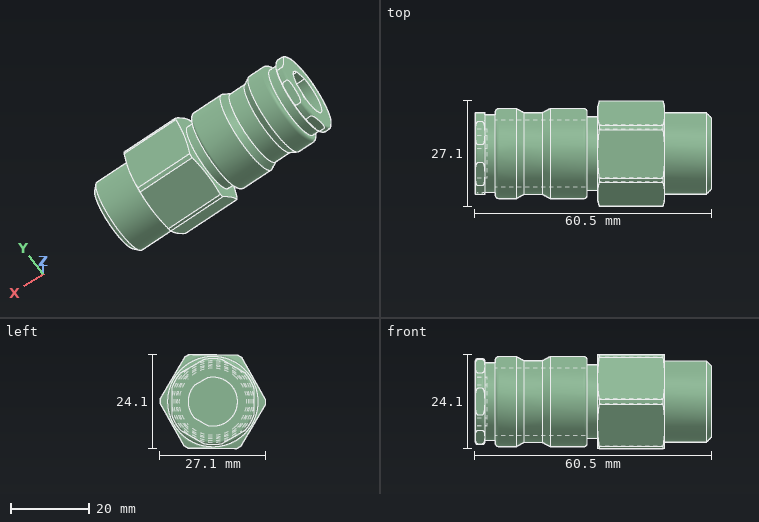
import cadquery as cq
import math

overall_length = 60.5
collar_length = 2.5
sleeve_start = 5.1
sleeve_end = 28.7
hex_start = 31.35
hex_end = 48.5

collar_diameter = 22.1
collar_flats = 21.0
collar_turn = 30
collar_fillet = 0.7

socket_radius = 6.3
socket_flat_distance = 6.0
socket_depth = 3.0
socket_flat_angles = (60, -60)

front_neck_diameter = 20.0
rear_neck_diameter = 18.95
shank_diameter = 20.95
shank_chamfer = 1.35

hex_flats = 24.0
hex_corner_diameter = 27.05
hex_turn = 0.6
hex_chamfer_length = 0.4

sleeve_diameter = 23.2
sleeve_bore = 17.25
waist_diameter = 21.0
front_rim_end = 10.5
waist_start = 12.45
waist_end = 17.2
rear_rim_start = 19.25
front_rim_fillet = 1.0
rear_rim_fillet = 0.9


def disc(diameter, start, end):
    """Solid cylinder about the X axis between two stations."""
    return cq.Workplane("YZ", origin=(start, 0, 0)).circle(diameter / 2).extrude(end - start)


def hexagon(across_flats, start, end):
    """Hexagonal prism about the X axis, with two corners on the Y axis."""
    corner_to_corner = across_flats / math.cos(math.pi / 6)
    return cq.Workplane("YZ", origin=(start, 0, 0)).polygon(6, corner_to_corner).extrude(end - start)


def make_collar():
    """Disc with rounded rims, cut by six flats that include the +Y and -Y sides."""
    rounded = disc(collar_diameter, 0, collar_length).faces("<X or >X").edges().fillet(collar_fillet)
    flats = hexagon(collar_flats, 0, collar_length).rotate((0, 0, 0), (1, 0, 0), collar_turn)
    return rounded.intersect(flats)


def make_socket():
    """Blind bore whose wall is flattened at two places on the +Y side."""
    width = socket_radius + socket_flat_distance
    socket = disc(2 * socket_radius, 0, socket_depth)
    for angle in socket_flat_angles:
        flat_block = (
            cq.Workplane("XY")
            .box(socket_depth, width, 2 * socket_radius, centered=(False, False, True))
            .translate((0, -socket_radius, 0))
            .rotate((0, 0, 0), (1, 0, 0), angle)
        )
        socket = socket.intersect(flat_block)
    return socket


def make_hex():
    """Wrench hexagon with turned corners and a conical chamfer at each end."""
    face_radius = hex_flats / 2
    corner_radius = hex_corner_diameter / 2
    turned_blank = (
        cq.Workplane("XY")
        .moveTo(hex_start, 0)
        .lineTo(hex_start, face_radius)
        .lineTo(hex_start + hex_chamfer_length, corner_radius)
        .lineTo(hex_end - hex_chamfer_length, corner_radius)
        .lineTo(hex_end, face_radius)
        .lineTo(hex_end, 0)
        .close()
        .revolve(360, (0, 0, 0), (1, 0, 0))
    )
    prism = hexagon(hex_flats, hex_start, hex_end).rotate((0, 0, 0), (1, 0, 0), hex_turn)
    return turned_blank.intersect(prism)


def make_body():
    """Collar, necks, sleeve seat, hexagon and shank in one piece."""
    shank = disc(shank_diameter, hex_end, overall_length).faces(">X").chamfer(shank_chamfer)
    body = (
        make_collar()
        .union(disc(front_neck_diameter, collar_length, sleeve_start))
        .union(disc(sleeve_bore, sleeve_start, sleeve_end))
        .union(disc(rear_neck_diameter, sleeve_end, hex_start))
        .union(make_hex())
        .union(shank)
    )
    return body.cut(make_socket())


def make_sleeve():
    """Ring around the body with rounded outer rims and a conical step down to the waist."""
    bore_radius = sleeve_bore / 2
    rim_radius = sleeve_diameter / 2
    waist_radius = waist_diameter / 2
    ring = (
        cq.Workplane("XY")
        .moveTo(sleeve_start, bore_radius)
        .lineTo(sleeve_start, rim_radius)
        .lineTo(front_rim_end, rim_radius)
        .lineTo(waist_start, waist_radius)
        .lineTo(waist_end, waist_radius)
        .lineTo(rear_rim_start, rim_radius)
        .lineTo(sleeve_end, rim_radius)
        .lineTo(sleeve_end, bore_radius)
        .close()
        .revolve(360, (0, 0, 0), (1, 0, 0))
    )
    outer_edge = cq.selectors.RadiusNthSelector(-1)
    ring = ring.faces("<X").edges(outer_edge).fillet(front_rim_fillet)
    return ring.faces(">X").edges(outer_edge).fillet(rear_rim_fillet)


body = make_body()
sleeve = make_sleeve()

result = cq.Compound.makeCompound([body.val(), sleeve.val()])